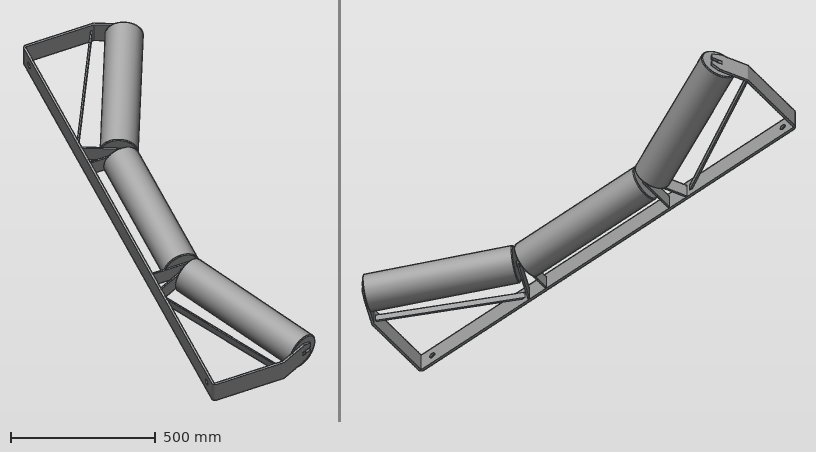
import cadquery as cq
import math

LENGTH = 1680.0
HALF_LENGTH = LENGTH / 2
FRAME_PLATE = 8.0
BAR_WIDTH = 84.0
CORNER_RADIUS = 13.0
TAB_BEND_RADIUS = 8.0
LEG_HEIGHT = 267.0
TAB_LENGTH = 138.0
TIP_CHAMFER_ALONG = 30.0
TIP_CHAMFER_ACROSS = 15.0
MOUNT_HOLE_DIAMETER = 22.0
MOUNT_HOLE_X = 783.0

ROLLER_DIAMETER = 133.0
ROLLER_LENGTH = 535.0
ROLLER_EDGE_CHAMFER = 3.0
SHAFT_SIZE = 15.0
SHAFT_LENGTH = 551.0
SHAFT_SLOT_LENGTH = 563.0
SHAFT_SLOT_HEIGHT = 67.0
CENTRE_ROLLER_Y = 126.0
CENTRE_ROLLER_Z = -7.0
WING_X = 545.0
WING_Y = 247.0
TROUGH_ANGLE = 25.0
WING_TILT = math.degrees(math.asin(-CENTRE_ROLLER_Z / ROLLER_LENGTH))
WING_Z = CENTRE_ROLLER_Z / 2

SUPPORT_PLATE = 6.0
BRACKET_X = 272.0
BRACKET_HEIGHT = 150.0
BRACKET_WIDTH = 60.0
BRACKET_TOP_WIDTH = 17.0

BRACE_WIDTH = 30.0
BRACE_FOOT_X = 368.0
BRACE_TOP_Y = 259.0

SLOPE = math.radians(TROUGH_ANGLE)
TAB_DIRECTION = cq.Vector(math.sin(SLOPE), math.cos(SLOPE))
TAB_NORMAL = cq.Vector(math.cos(SLOPE), -math.sin(SLOPE))


def on_side(left_body, side):
    """Return the left-hand body itself (side -1) or its mirror image (side 1)."""
    return left_body if side < 0 else left_body.mirror("YZ")


def plate_from_outline(points, width):
    return cq.Workplane("XY").polyline(points).close().extrude(width / 2, both=True)


def place_centre(body):
    return body.translate((0, CENTRE_ROLLER_Y, CENTRE_ROLLER_Z))


def place_wing(body, side):
    """Move a body from the X axis onto a wing roller's axis."""
    left = (
        body.rotate((0, 0, 0), (0, 1, 0), WING_TILT)
        .rotate((0, 0, 0), (0, 0, 1), -TROUGH_ANGLE)
        .translate((-WING_X, WING_Y, WING_Z))
    )
    return on_side(left, side)


def roller():
    """One roller along the X axis, centred on the origin."""
    shell = (
        cq.Workplane("YZ", origin=(-ROLLER_LENGTH / 2, 0, 0))
        .circle(ROLLER_DIAMETER / 2).extrude(ROLLER_LENGTH)
        .faces("<X or >X").chamfer(ROLLER_EDGE_CHAMFER)
    )
    return shell.union(cq.Workplane("XY").box(SHAFT_LENGTH, SHAFT_SIZE, SHAFT_SIZE))


def shaft_slot():
    """Open-topped slot that a shaft drops into, along the X axis."""
    return (
        cq.Workplane("XY")
        .box(SHAFT_SLOT_LENGTH, SHAFT_SLOT_HEIGHT, SHAFT_SIZE, centered=(True, False, True))
        .translate((0, -SHAFT_SIZE / 2, 0))
    )


def tab_tip_trim():
    """Left-hand pair of wedges that cut the corners off a tab's tip."""
    tab_plane = cq.Plane(
        origin=(-HALF_LENGTH, LEG_HEIGHT, 0), xDir=TAB_DIRECTION.toTuple(), normal=TAB_NORMAL.toTuple()
    )
    edge = BAR_WIDTH / 2
    wedges = cq.Workplane(tab_plane)
    for z_sign in (-1, 1):
        wedges = (
            wedges.moveTo(TAB_LENGTH, z_sign * edge)
            .lineTo(TAB_LENGTH - TIP_CHAMFER_ALONG, z_sign * edge)
            .lineTo(TAB_LENGTH, z_sign * (edge - TIP_CHAMFER_ACROSS))
            .close()
        )
    return wedges.extrude(2 * FRAME_PLATE, both=True)


def frame():
    bend = cq.Vector(-HALF_LENGTH, LEG_HEIGHT)
    tip = bend + TAB_DIRECTION * TAB_LENGTH
    inner_tip = tip + TAB_NORMAL * FRAME_PLATE
    inner_x = -HALF_LENGTH + FRAME_PLATE
    inner_bend_y = LEG_HEIGHT - FRAME_PLATE * math.tan(SLOPE / 2)
    outline = [
        (0, 0),
        (-HALF_LENGTH, 0),
        (bend.x, bend.y),
        (tip.x, tip.y),
        (inner_tip.x, inner_tip.y),
        (inner_x, inner_bend_y),
        (inner_x, FRAME_PLATE),
        (0, FRAME_PLATE),
    ]
    left = plate_from_outline(outline, BAR_WIDTH)
    left = left.edges(cq.NearestToPointSelector((-HALF_LENGTH, 0, 0))).fillet(CORNER_RADIUS)
    left = left.edges(cq.NearestToPointSelector(bend.toTuple())).fillet(TAB_BEND_RADIUS)
    left = left.cut(tab_tip_trim()).cut(place_wing(shaft_slot(), -1))
    bar = left.union(left.mirror("YZ"))
    mount_holes = (
        cq.Workplane("XZ").pushPoints([(-MOUNT_HOLE_X, 0), (MOUNT_HOLE_X, 0)])
        .circle(MOUNT_HOLE_DIAMETER / 2).extrude(FRAME_PLATE, both=True)
    )
    return bar.cut(mount_holes)


def bracket(side):
    base_y = FRAME_PLATE
    top_y = BRACKET_HEIGHT
    under_y = BRACKET_HEIGHT - SUPPORT_PLATE
    outer_top_x = -BRACKET_X - BRACKET_TOP_WIDTH
    foot_x = outer_top_x - (top_y - base_y) * math.tan(SLOPE)
    foot_width = SUPPORT_PLATE / math.cos(SLOPE)
    inner_top_x = outer_top_x + foot_width - SUPPORT_PLATE * math.tan(SLOPE)
    inner_x = -BRACKET_X - SUPPORT_PLATE
    outline = [
        (-BRACKET_X, base_y),
        (-BRACKET_X, top_y),
        (outer_top_x, top_y),
        (foot_x, base_y),
        (foot_x + foot_width, base_y),
        (inner_top_x, under_y),
        (inner_x, under_y),
        (inner_x, base_y),
    ]
    left = plate_from_outline(outline, BRACKET_WIDTH).translate((0, 0, CENTRE_ROLLER_Z))
    left = left.cut(place_wing(shaft_slot(), -1)).cut(place_centre(shaft_slot()))
    return on_side(left, side)


def brace(side):
    wall_x = -HALF_LENGTH + FRAME_PLATE
    base_y = FRAME_PLATE
    angle = math.atan2(BRACE_TOP_Y - base_y, -BRACE_FOOT_X - wall_x)
    outline = [
        (-BRACE_FOOT_X, base_y),
        (wall_x, BRACE_TOP_Y),
        (wall_x, BRACE_TOP_Y - SUPPORT_PLATE / math.cos(angle)),
        (-BRACE_FOOT_X - SUPPORT_PLATE / math.sin(angle), base_y),
    ]
    return on_side(plate_from_outline(outline, BRACE_WIDTH), side)


SIDES = (-1, 1)
tray = frame()
centre_roller = place_centre(roller())
wing_rollers = [place_wing(roller(), side) for side in SIDES]
brackets = [bracket(side) for side in SIDES]
braces = [brace(side) for side in SIDES]

result = cq.Compound.makeCompound(
    [body.val() for body in [tray, centre_roller, *wing_rollers, *brackets, *braces]]
)